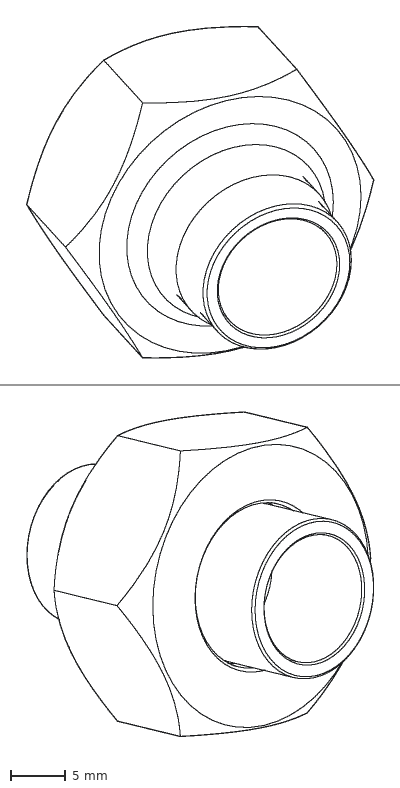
import cadquery as cq
import math


total_length = 32.0
bore_radius = 12.0 / 2
bore_chamfer = 0.2
tube_radius = 15.0 / 2
inlet_end_chamfer = 0.22
outlet_end_chamfer = 0.3

nut_start = 7.52
nut_width = 13.5
nut_end = nut_start + nut_width
across_flats = 27.0
across_corners = across_flats / math.cos(math.pi / 6)
nut_face_radius = 26.5 / 2
nut_mouth_radius = 15.5 / 2
nut_mouth_chamfer = 0.32
nut_wall = 3.0
nut_cavity_radius = 20.9 / 2

flange_start = nut_start + nut_wall
flange_thickness = 2.25
joint_x = flange_start + flange_thickness

shoulder_x = 22.45
collar_radius = 16.0 / 2
collar_root_fillet = 0.5
collar_end = 26.72
blend_radius = 0.58
half_right_angle = math.radians(45)


def revolve_about_x(profile):
    """Revolve a closed (x, radius) profile around the X axis."""
    return profile.revolve(360, (0, 0, 0), (1, 0, 0))


def make_inlet_tailpiece():
    profile = (
        cq.Workplane("XY")
        .moveTo(bore_chamfer, bore_radius)
        .lineTo(0, bore_radius + bore_chamfer)
        .lineTo(0, tube_radius - inlet_end_chamfer)
        .lineTo(inlet_end_chamfer, tube_radius)
        .lineTo(flange_start, tube_radius)
        .lineTo(flange_start, nut_cavity_radius)
        .lineTo(joint_x, nut_cavity_radius)
        .lineTo(joint_x, bore_radius)
        .close()
    )
    return revolve_about_x(profile)


def make_outlet_tailpiece():
    shoulder_radius = nut_cavity_radius - (shoulder_x - nut_end)

    fillet_center_x = shoulder_x + collar_root_fillet
    fillet_center_r = collar_radius + collar_root_fillet
    fillet_mid_offset = collar_root_fillet * math.cos(half_right_angle)

    blend_center_r = tube_radius + blend_radius
    blend_start_r = blend_center_r - blend_radius * math.cos(half_right_angle)
    blend_start_x = collar_end + collar_radius - blend_start_r
    blend_end_x = blend_start_x + blend_radius * math.sin(half_right_angle)
    blend_mid_x = blend_end_x - blend_radius * math.sin(half_right_angle / 2)
    blend_mid_r = blend_center_r - blend_radius * math.cos(half_right_angle / 2)

    profile = (
        cq.Workplane("XY")
        .moveTo(joint_x, bore_radius)
        .lineTo(joint_x, nut_cavity_radius)
        .lineTo(nut_end, nut_cavity_radius)
        .lineTo(shoulder_x, shoulder_radius)
        .lineTo(shoulder_x, fillet_center_r)
        .threePointArc(
            (fillet_center_x - fillet_mid_offset, fillet_center_r - fillet_mid_offset),
            (fillet_center_x, collar_radius),
        )
        .lineTo(collar_end, collar_radius)
        .lineTo(blend_start_x, blend_start_r)
        .threePointArc((blend_mid_x, blend_mid_r), (blend_end_x, tube_radius))
        .lineTo(total_length - outlet_end_chamfer, tube_radius)
        .lineTo(total_length, tube_radius - outlet_end_chamfer)
        .lineTo(total_length, bore_radius + bore_chamfer)
        .lineTo(total_length - bore_chamfer, bore_radius)
        .close()
    )
    return revolve_about_x(profile)


def make_nut():
    hexagon = (
        cq.Workplane("YZ")
        .workplane(offset=nut_start)
        .polygon(6, across_corners)
        .extrude(nut_width)
    )

    corner_radius = across_corners / 2
    corner_chamfer = corner_radius - nut_face_radius
    turned_envelope = revolve_about_x(
        cq.Workplane("XY")
        .moveTo(nut_start, nut_mouth_radius + nut_mouth_chamfer)
        .lineTo(nut_start, nut_face_radius)
        .lineTo(nut_start + corner_chamfer, corner_radius)
        .lineTo(nut_end - corner_chamfer, corner_radius)
        .lineTo(nut_end, nut_face_radius)
        .lineTo(nut_end, nut_cavity_radius)
        .lineTo(flange_start, nut_cavity_radius)
        .lineTo(flange_start, nut_mouth_radius)
        .lineTo(nut_start + nut_mouth_chamfer, nut_mouth_radius)
        .close()
    )
    return hexagon.intersect(turned_envelope).solids()


inlet_tailpiece = make_inlet_tailpiece()
outlet_tailpiece = make_outlet_tailpiece()
nut = make_nut()

result = cq.Compound.makeCompound([inlet_tailpiece.val(), outlet_tailpiece.val(), nut.val()])